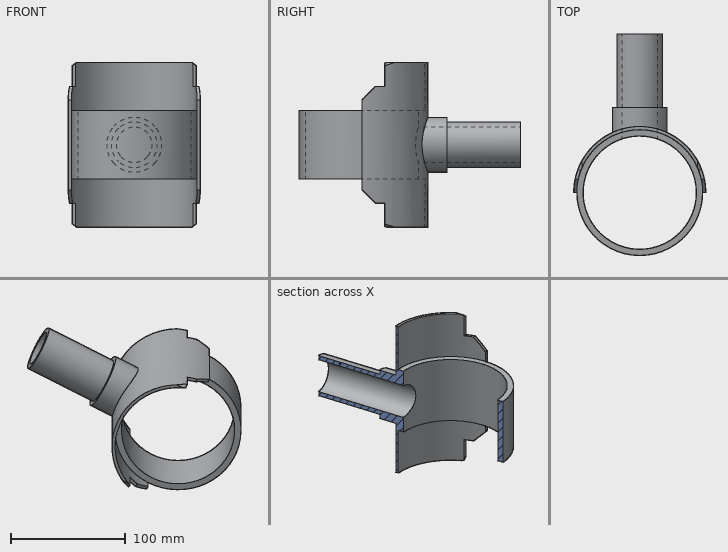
import cadquery as cq

ring_radius = 55.0
ring_wall = 5.6
ring_height = 60.0

saddle_width = 115.5
saddle_radius = saddle_width / 2
saddle_height = 144.0
notch_y = 20.0
ear_half_height = 51.0
ear_chamfer = 11.8
corner_x = 50.3
corner_drop = 2.9

overall_length = 193.5
pipe_end_y = overall_length - ring_radius
pipe_radius = 20.0
collar_radius = 24.0
collar_end_y = 74.5
bore_radius = 15.5


def upright_cylinder(radius, height):
    return cq.Workplane("XY").cylinder(height, radius)


def branch_cylinder(radius, end_y):
    """Cylinder along Y, from the ring axis out to end_y."""
    return cq.Workplane("XZ").circle(radius).extrude(-end_y)


def saddle_side_outline():
    """Side silhouette: full-height back with shorter, chamfered ears at the front."""
    half_height = saddle_height / 2
    upper = [
        (0, ear_half_height - ear_chamfer),
        (ear_chamfer, ear_half_height),
        (notch_y, ear_half_height),
        (notch_y, half_height),
        (saddle_radius, half_height),
    ]
    lower = [(y, -z) for y, z in reversed(upper)]
    return (
        cq.Workplane("YZ").polyline(upper + lower).close()
        .extrude(saddle_radius, both=True)
    )


def saddle_corner_cut(side, end):
    """Wedge that bevels one corner of the saddle; side and end are +1 or -1."""
    half_height = saddle_height / 2
    notch_edge_x = (saddle_radius**2 - notch_y**2) ** 0.5
    points = [
        (side * corner_x, end * half_height),
        (side * notch_edge_x, end * half_height),
        (side * notch_edge_x, end * (half_height - corner_drop)),
    ]
    return cq.Workplane("XZ").polyline(points).close().extrude(-saddle_radius)


def make_saddle():
    saddle = upright_cylinder(saddle_radius, saddle_height).intersect(saddle_side_outline())
    for side in (-1, 1):
        for end in (-1, 1):
            saddle = saddle.cut(saddle_corner_cut(side, end))
    return saddle.cut(upright_cylinder(ring_radius, saddle_height))


def make_branch():
    branch = branch_cylinder(pipe_radius, pipe_end_y)
    branch = branch.union(branch_cylinder(collar_radius, collar_end_y))
    return branch.cut(upright_cylinder(ring_radius, saddle_height))


ring = upright_cylinder(ring_radius, ring_height)
ring = ring.cut(upright_cylinder(ring_radius - ring_wall, ring_height))

bore = branch_cylinder(bore_radius, pipe_end_y)

result = ring.union(make_saddle()).union(make_branch()).cut(bore)